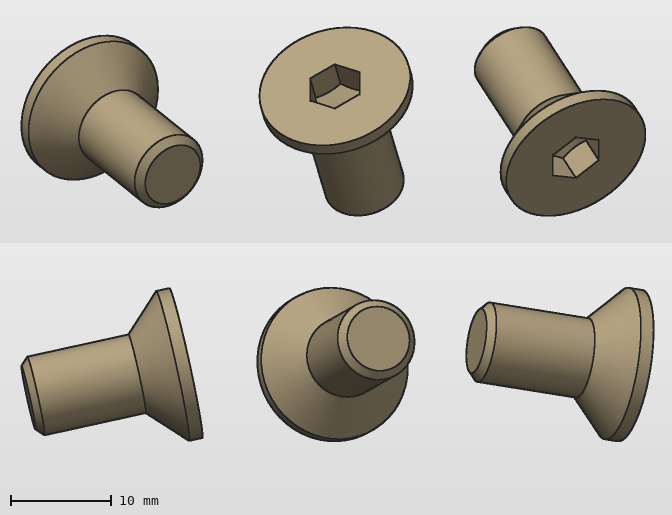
import cadquery as cq
import math

length = 16.0
shank_diameter = 8.0
head_diameter = 15.24
head_height = 4.96
tip_diameter = 6.466
socket_sides = 6
socket_across_flats = 5.0
socket_depth = 3.0
socket_tip_angle = 120.0

shank_radius = shank_diameter / 2
head_radius = head_diameter / 2
tip_chamfer = (shank_diameter - tip_diameter) / 2
cone_length = head_radius - shank_radius
rim_thickness = head_height - cone_length
corner_step = 2 * math.pi / socket_sides
socket_corner_radius = socket_across_flats / 2 / math.cos(corner_step / 2)
socket_tip_length = socket_corner_radius / math.tan(math.radians(socket_tip_angle / 2))


def make_body():
    """Rim, countersink, shank and chamfered tip revolved about X."""
    return (
        cq.Workplane("XY")
        .lineTo(0, head_radius)
        .lineTo(rim_thickness, head_radius)
        .lineTo(head_height, shank_radius)
        .lineTo(length - tip_chamfer, shank_radius)
        .lineTo(length, tip_diameter / 2)
        .lineTo(length, 0)
        .close()
        .revolve(360, (0, 0, 0), (1, 0, 0))
    )


def make_socket():
    """Hexagonal recess with corners on +/-Z and a conical bottom."""
    total_depth = socket_depth + socket_tip_length
    corners = [
        (
            socket_corner_radius * math.sin(i * corner_step),
            socket_corner_radius * math.cos(i * corner_step),
        )
        for i in range(socket_sides)
    ]
    hexagon = cq.Workplane("YZ").polyline(corners).close().extrude(total_depth)
    drill = (
        cq.Workplane("XY")
        .lineTo(0, socket_corner_radius)
        .lineTo(socket_depth, socket_corner_radius)
        .lineTo(total_depth, 0)
        .close()
        .revolve(360, (0, 0, 0), (1, 0, 0))
    )
    return hexagon.intersect(drill)


result = make_body().cut(make_socket())